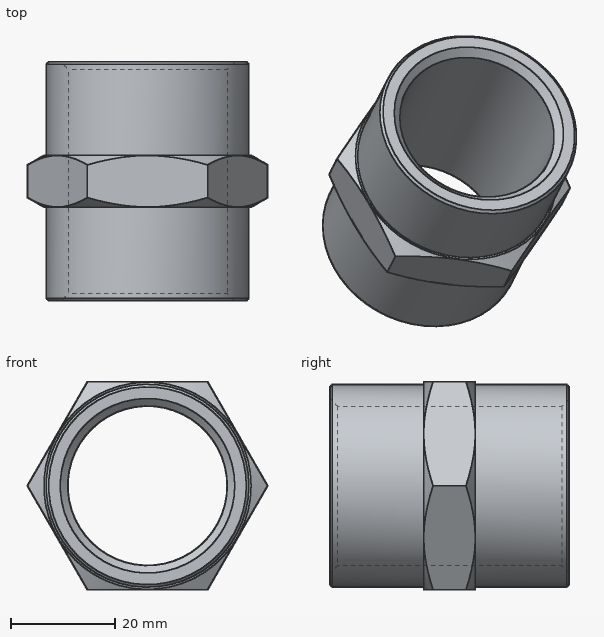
import cadquery as cq
import math

corner_width = 46.2
flat_width = corner_width * math.cos(math.radians(30))
hex_length = 10.0
hex_chamfer_angle = 30.0
hex_face_diameter = 39.8

body_diameter = 39.0
body_length = 46.0
end_chamfer = 0.5

bore_diameter = 30.6
bore_mouth_diameter = 33.55
mouth_depth = (bore_mouth_diameter - bore_diameter) / 2


def revolve_about_y(half_profile):
    """Revolve (radius, y) points at y >= 0, completed by their mirror image."""
    mirrored = [(radius, -y) for radius, y in reversed(half_profile)]
    outline = cq.Workplane("XY").polyline(half_profile + mirrored).close()
    return outline.revolve(360, (0, 0, 0), (0, 1, 0))


def make_body():
    radius = body_diameter / 2
    end = body_length / 2
    return revolve_about_y([(radius, end - end_chamfer), (radius - end_chamfer, end), (0, end)])


def make_hexagon():
    """Hexagonal collar with corners on the X axis, trimmed by a cone at each face."""
    prism = cq.Workplane("XZ").polygon(6, corner_width).extrude(hex_length / 2, both=True)
    face_radius = hex_face_diameter / 2
    corner_radius = corner_width / 2
    face = hex_length / 2
    drop = (corner_radius - face_radius) * math.tan(math.radians(hex_chamfer_angle))
    trim = revolve_about_y([(corner_radius, face - drop), (face_radius, face), (0, face)])
    return prism.intersect(trim)


def make_bore():
    """Through bore with a conical mouth at each end."""
    radius = bore_diameter / 2
    end = body_length / 2
    return revolve_about_y(
        [(radius, end - mouth_depth), (bore_mouth_diameter / 2, end), (0, end)]
    )


result = make_body().union(make_hexagon()).cut(make_bore())